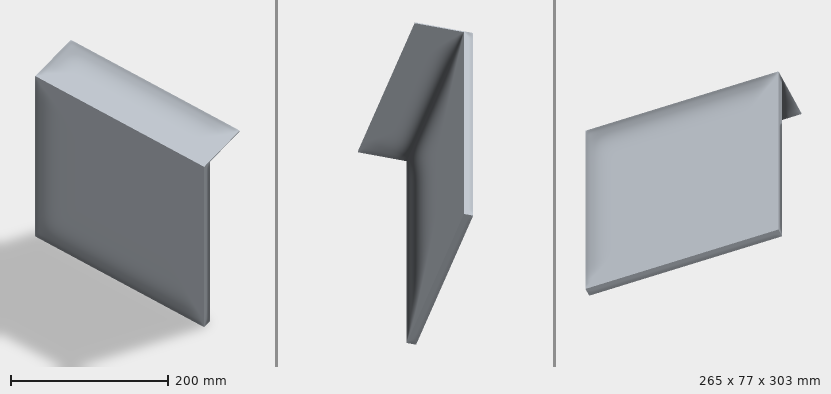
import cadquery as cq

width = 265.0
depth = 77.0
height = 303.0

panel_thickness = 12.5
flange_thickness = 1.5

profile = [
    (0, 0),
    (panel_thickness, 0),
    (panel_thickness, height - flange_thickness),
    (depth, height - flange_thickness),
    (depth, height),
    (0, height),
]

result = cq.Workplane("YZ").polyline(profile).close().extrude(width)